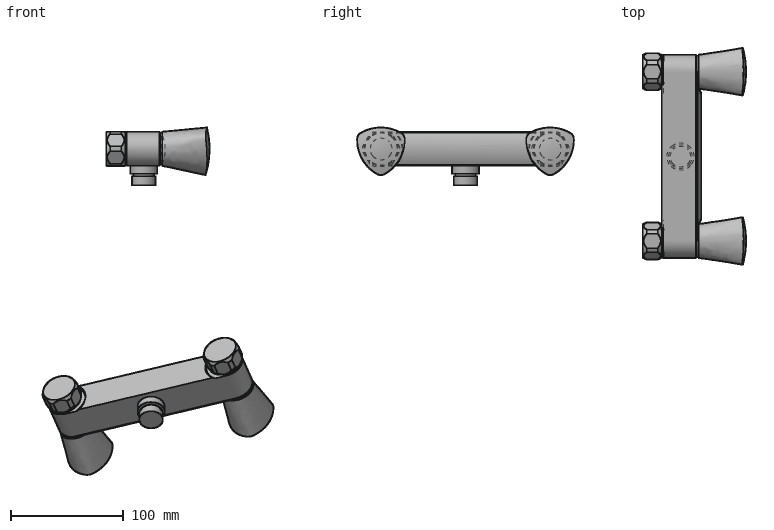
import cadquery as cq
import math


axis_spacing = 150.0

nut_across_flats = 30.5
nut_corner_diameter = 33.0
nut_face_diameter = 29.6
nut_bevel_length = 3.5
nut_length = 17.0
neck_radius = 9.6

bar_height = 30.4
bar_top_end_x = 47.0
shoulder_x = 47.9
panel_x = 48.7
panel_bulge = 3.5
shoulder_drop = 1.0
recess_radius = 19.2
nut_recess_depth = 1.3
nut_recess_taper = 0.8

handle_start_x = 49.6
handle_end_x = 92.0
handle_side_reach = 19.2
handle_corner_reach = 24.2
handle_corner_radius = 6.2
handle_dome_radius = 73.0

outlet_x = 33.3
collar_diameter = 24.0
collar_height = 7.0
groove_diameter = 18.3
groove_height = 2.1
spigot_diameter = 21.0
spigot_bottom_z = -32.3

bar_radius = bar_height / 2
shoulder_radius = bar_radius - shoulder_drop
axis_positions = (-axis_spacing / 2, axis_spacing / 2)
bar_start_x = nut_length
nut_recess_floor_x = bar_start_x + nut_recess_depth
corner_pitch = 2 * math.pi / 3
outline_points = 72
eps = 2.0


def cylinder_x(radius, start_x, end_x, y=0):
    """Cylinder parallel to X between two X positions."""
    return cq.Workplane("YZ", origin=(start_x, y, 0)).circle(radius).extrude(end_x - start_x)


def rounded_bar(half_height, start_x, end_x):
    """Length of bar with half-round ends centred on the valve axes."""
    length = axis_spacing + 2 * half_height
    return (
        cq.Workplane("YZ", origin=(start_x, 0, 0))
        .slot2D(length, 2 * half_height)
        .extrude(end_x - start_x)
    )


def make_bar():
    bar = rounded_bar(bar_radius, bar_start_x, shoulder_x)
    bar = bar.faces(">X").chamfer(shoulder_x - bar_top_end_x, shoulder_drop)
    bar = bar.union(rounded_bar(shoulder_radius, shoulder_x, panel_x))

    panel = (
        cq.Workplane("XZ", origin=(0, axis_spacing / 2, 0))
        .moveTo(panel_x, -shoulder_radius)
        .threePointArc((panel_x + panel_bulge, 0), (panel_x, shoulder_radius))
        .close()
        .extrude(axis_spacing)
    )
    bar = bar.union(panel)

    for y in axis_positions:
        nut_recess = cq.Solid.makeCone(
            recess_radius,
            recess_radius - nut_recess_taper,
            nut_recess_depth,
            pnt=cq.Vector(bar_start_x, y, 0),
            dir=cq.Vector(1, 0, 0),
        )
        bar = bar.cut(cq.Workplane(nut_recess))
        bar = bar.cut(cylinder_x(recess_radius, panel_x, panel_x + panel_bulge + eps, y))
    return bar


def make_nut(y):
    """Hexagon nut with bevelled corners and the short neck that joins it to the bar."""
    hexagon = (
        cq.Workplane("YZ", origin=(0, y, 0))
        .polygon(6, nut_across_flats / math.cos(math.pi / 6))
        .extrude(nut_length)
    )
    bevel_depth = (nut_corner_diameter - nut_face_diameter) / 2
    envelope = cylinder_x(nut_corner_diameter / 2, 0, nut_length, y)
    envelope = envelope.faces("<X or >X").chamfer(nut_bevel_length, bevel_depth)
    neck = cylinder_x(neck_radius, nut_length, nut_recess_floor_x, y)
    return hexagon.intersect(envelope).union(neck)


def three_sided_outline(x, y, corner_distance, corner_radius, side_offset, side_radius, blend_angle):
    """Smooth closed curve of three corner arcs and three side arcs, one corner pointing down.

    blend_angle is half the sweep of a corner arc. Corner arcs are centred corner_distance
    from the axis, and side arcs are centred side_offset beyond the axis from their side.
    Points are taken at equal turns of the outward normal, starting at the top.
    """
    points = []
    for step in range(outline_points):
        normal = math.pi / 2 + 2 * math.pi * step / outline_points
        corner_index = round((normal + math.pi / 2) / corner_pitch)
        tip = -math.pi / 2 + corner_index * corner_pitch
        if abs(normal - tip) <= blend_angle:
            centre_direction, centre_distance, radius = tip, corner_distance, corner_radius
        else:
            side = tip + math.copysign(corner_pitch / 2, normal - tip)
            centre_direction, centre_distance, radius = side + math.pi, side_offset, side_radius
        across = centre_distance * math.cos(centre_direction) + radius * math.cos(normal)
        up = centre_distance * math.sin(centre_direction) + radius * math.sin(normal)
        points.append(cq.Vector(x, y + across, up))
    return cq.Wire.assembleEdges([cq.Edge.makeSpline(points, periodic=True)])


def make_handle(y):
    """Handle flaring from a round base to a rounded triangle with a domed end."""
    corner_distance = handle_corner_reach - handle_corner_radius
    reach_gap = handle_side_reach - handle_corner_radius
    side_offset = (corner_distance**2 - reach_gap**2) / (2 * reach_gap - corner_distance)
    side_radius = side_offset + handle_side_reach
    blend_angle = corner_pitch / 2 - math.atan2(
        corner_distance * math.sin(corner_pitch / 2),
        side_offset + corner_distance * math.cos(corner_pitch / 2),
    )
    base = three_sided_outline(handle_start_x, y, 0, bar_radius, 0, bar_radius, blend_angle)
    wide_end = three_sided_outline(
        handle_end_x, y, corner_distance, handle_corner_radius, side_offset, side_radius, blend_angle
    )
    flare = cq.Workplane(cq.Solid.makeLoft([base, wide_end], True))
    dome = cq.Workplane(origin=(handle_end_x - handle_dome_radius, y, 0)).sphere(handle_dome_radius)
    groove_core = cylinder_x(shoulder_radius, panel_x, handle_start_x, y)
    return flare.intersect(dome).union(groove_core)


def make_housing():
    """Bar with its two wall nuts and two handles."""
    housing = make_bar()
    for y in axis_positions:
        housing = housing.union(make_nut(y)).union(make_handle(y))
    return housing


def make_outlet():
    """Stepped hose outlet standing against the underside of the bar."""
    collar_bottom_z = -bar_radius - collar_height
    groove_bottom_z = collar_bottom_z - groove_height
    outlet = cq.Workplane(origin=(outlet_x, 0, spigot_bottom_z))
    outlet = outlet.circle(spigot_diameter / 2).extrude(groove_bottom_z - spigot_bottom_z)
    outlet = outlet.faces(">Z").workplane().circle(groove_diameter / 2).extrude(groove_height)
    return outlet.faces(">Z").workplane().circle(collar_diameter / 2).extrude(collar_height)


housing = make_housing()
outlet = make_outlet()

result = cq.Compound.makeCompound([*housing.solids().vals(), outlet.val()])